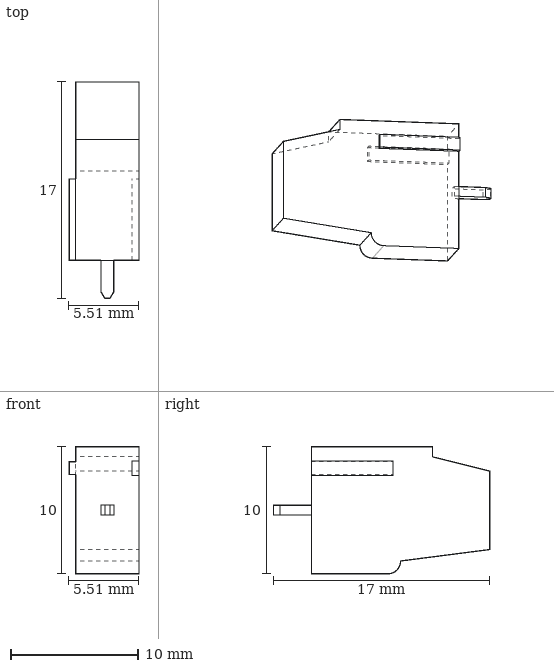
import cadquery as cq

overall_length = 17
housing_width = 5.0
housing_length = 14.0
housing_height = 10.0

top_step_y = 9.5
top_step_z = housing_height - 0.8
back_top_z = 8.08
back_bottom_z = 1.9
heel_y = 7.0
heel_radius = 1.0

rib_width = 0.51
rib_length = 6.4
rib_height = 1.02
rib_center_z = 8.3
groove_depth = 0.58
groove_length = rib_length
groove_height = 1.12

pin_length = overall_length - housing_length
pin_width = 1.0
pin_height = 0.78
pin_center_x = housing_width / 2
pin_center_z = housing_height / 2
pin_tip_length = 0.51
pin_tip_width = 0.4


def make_housing():
    """Side outline in the YZ plane, extruded across the width."""
    return (
        cq.Workplane("YZ")
        .moveTo(0, 0)
        .lineTo(0, housing_height)
        .lineTo(top_step_y, housing_height)
        .lineTo(top_step_y, top_step_z)
        .lineTo(housing_length, back_top_z)
        .lineTo(housing_length, back_bottom_z)
        .lineTo(heel_y, heel_radius)
        .radiusArc((heel_y - heel_radius, 0), heel_radius)
        .close()
        .extrude(housing_width)
    )


def make_side_bar(start_x, width, length, height):
    """Bar along Y from the front face, centred on the rib height."""
    return (
        cq.Workplane("XY")
        .box(width, length, height, centered=(False, False, True))
        .translate((start_x, 0, rib_center_z))
    )


def make_pin():
    """Flat pin pointing forwards, with a tip tapered in width."""
    half_width = pin_width / 2
    half_tip = pin_tip_width / 2
    shoulder_y = pin_tip_length - pin_length
    outline = [
        (-half_width, 0),
        (-half_width, shoulder_y),
        (-half_tip, -pin_length),
        (half_tip, -pin_length),
        (half_width, shoulder_y),
        (half_width, 0),
    ]
    return (
        cq.Workplane("XY")
        .polyline(outline)
        .close()
        .extrude(pin_height / 2, both=True)
        .translate((pin_center_x, 0, pin_center_z))
    )


rib = make_side_bar(-rib_width, rib_width, rib_length, rib_height)
groove = make_side_bar(housing_width - groove_depth, groove_depth, groove_length, groove_height)

result = make_housing().union(rib).cut(groove).union(make_pin())